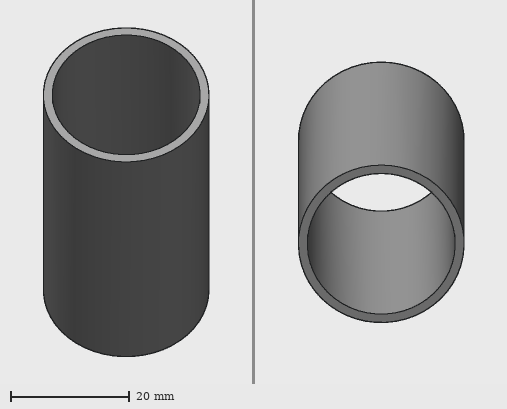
import cadquery as cq

length = 56.0
outer_diameter = length / 2
bore_diameter = 25.0

result = (
    cq.Workplane("XY")
    .circle(outer_diameter / 2)
    .circle(bore_diameter / 2)
    .extrude(length)
)